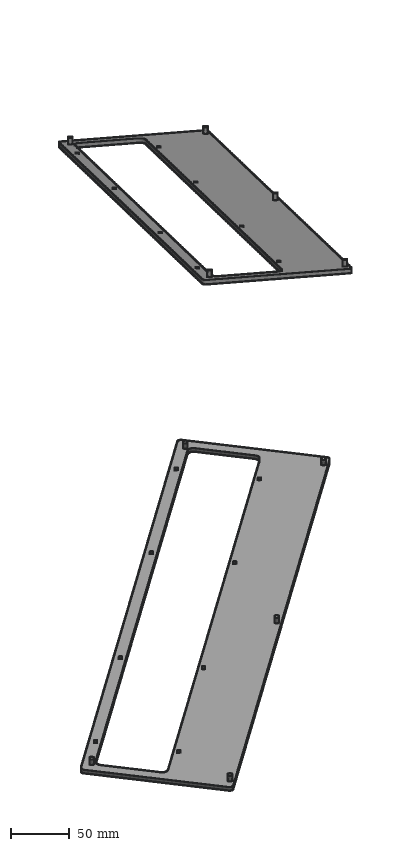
import cadquery as cq

PLATE_LENGTH = 451.0
PLATE_WIDTH = 132.0
PLATE_THICKNESS = 4.0
PLATE_CORNER_RADIUS = 3.0
TOTAL_HEIGHT = 10.0

FRONT_EDGE = -PLATE_WIDTH / 2
BACK_EDGE = PLATE_WIDTH / 2

WINDOW_LENGTH = 433.0
WINDOW_WIDTH = 62.5
WINDOW_FRONT_MARGIN = 11.0
WINDOW_CORNER_RADIUS = 5.0
WINDOW_CENTRE_Y = FRONT_EDGE + WINDOW_FRONT_MARGIN + WINDOW_WIDTH / 2

SLOT_LENGTH = 4.0
SLOT_WIDTH = 2.5
SLOT_INNER_X = 71.5
SLOT_OUTER_X = 186.3
SLOT_FRONT_MARGIN = 6.0
SLOT_ROW_PITCH = 72.0

PIN_DIAMETER = 4.0
PIN_HEIGHT = TOTAL_HEIGHT - PLATE_THICKNESS
PIN_SIDE_X = 216.0
PIN_BACK_MARGIN = 4.0
PIN_FRONT_MARGIN = 8.0
PIN_BACK_Y = BACK_EDGE - PIN_BACK_MARGIN
PIN_FRONT_Y = FRONT_EDGE + PIN_FRONT_MARGIN
PIN_POSITIONS = [
    (-PIN_SIDE_X, PIN_BACK_Y),
    (0, PIN_BACK_Y),
    (PIN_SIDE_X, PIN_BACK_Y),
    (-PIN_SIDE_X, PIN_FRONT_Y),
    (PIN_SIDE_X, PIN_FRONT_Y),
]


def rounded_block(length, width, corner_radius, centre_y):
    """Block of plate thickness with rounded vertical corners."""
    return (
        cq.Workplane("XY")
        .center(0, centre_y)
        .rect(length, width)
        .extrude(PLATE_THICKNESS)
        .edges("|Z")
        .fillet(corner_radius)
    )


def slot_cutters():
    """Cutters for the two rows of through slots beside the window."""
    front_row_y = FRONT_EDGE + SLOT_FRONT_MARGIN
    positions = [
        (x, y)
        for y in (front_row_y, front_row_y + SLOT_ROW_PITCH)
        for x in (-SLOT_OUTER_X, -SLOT_INNER_X, SLOT_INNER_X, SLOT_OUTER_X)
    ]
    return (
        cq.Workplane("XY")
        .pushPoints(positions)
        .slot2D(SLOT_LENGTH, SLOT_WIDTH)
        .extrude(PLATE_THICKNESS)
    )


def make_plate():
    """Plate with the window and the slots cut through it."""
    blank = rounded_block(PLATE_LENGTH, PLATE_WIDTH, PLATE_CORNER_RADIUS, 0)
    window = rounded_block(WINDOW_LENGTH, WINDOW_WIDTH, WINDOW_CORNER_RADIUS, WINDOW_CENTRE_Y)
    return blank.cut(window).cut(slot_cutters())


def make_pin(x, y):
    """Pin standing on the top face of the plate."""
    return (
        cq.Workplane("XY", origin=(x, y, PLATE_THICKNESS))
        .circle(PIN_DIAMETER / 2)
        .extrude(PIN_HEIGHT)
    )


plate = make_plate()
pins = [make_pin(x, y) for x, y in PIN_POSITIONS]

result = cq.Compound.makeCompound([plate.val(), *[pin.val() for pin in pins]])